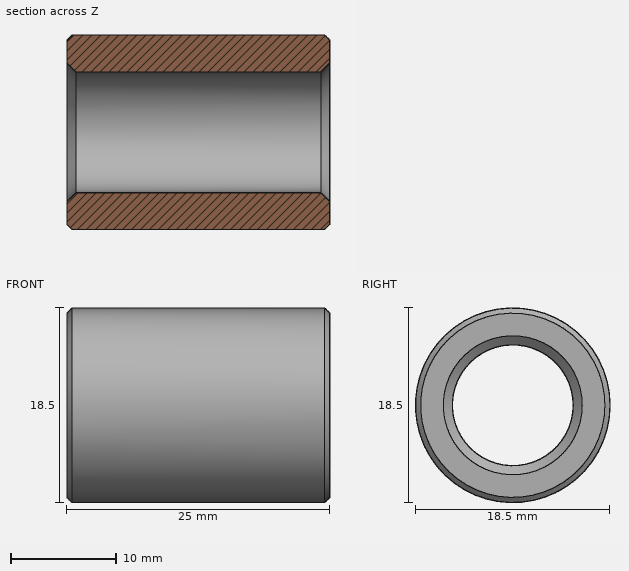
import cadquery as cq

length = 25.0
outer_diameter = 18.5
bore_diameter = 11.45
bore_mouth_diameter = 13.2
outer_chamfer = 0.5
bore_chamfer = (bore_mouth_diameter - bore_diameter) / 2

end_x = length / 2
outer_radius = outer_diameter / 2
bore_radius = bore_diameter / 2
mouth_radius = bore_mouth_diameter / 2

wall_section = (
    cq.Workplane("XY")
    .moveTo(-end_x + bore_chamfer, bore_radius)
    .lineTo(end_x - bore_chamfer, bore_radius)
    .lineTo(end_x, mouth_radius)
    .lineTo(end_x, outer_radius - outer_chamfer)
    .lineTo(end_x - outer_chamfer, outer_radius)
    .lineTo(-end_x + outer_chamfer, outer_radius)
    .lineTo(-end_x, outer_radius - outer_chamfer)
    .lineTo(-end_x, mouth_radius)
    .close()
)

result = wall_section.revolve(360, (0, 0, 0), (1, 0, 0))